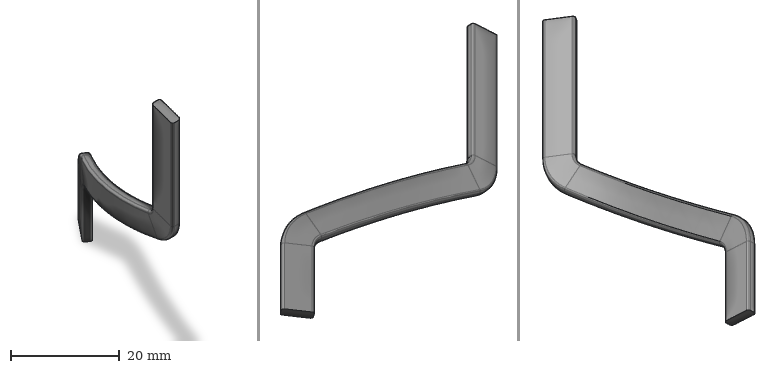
import cadquery as cq
import math

height = 76.25
bar_width = 6.2
bar_thickness = 2.0
edge_radius = 0.5
lower_leg = 15.0
upper_leg = 30.0
bend_radius = 6.0
leg_spacing = 26.7
lower_angle = 210.0
upper_angle = 240.0
guide_offset = 3.8
curve_steps = 12

wrap_angle = math.radians(upper_angle - lower_angle)
wrap_radius = leg_spacing / math.sqrt(2) / math.sin(wrap_angle / 2)
wrap_length = wrap_radius * wrap_angle
rise = height - lower_leg - upper_leg

middle_run = wrap_length / 2 - bend_radius
half_diagonal = math.sqrt(middle_run**2 + (rise / 2) ** 2 - bend_radius**2)
bend_angle = math.atan2(middle_run, rise / 2) + math.atan2(bend_radius, half_diagonal)
bend_run = bend_radius * (1 - math.cos(bend_angle))
bend_rise = bend_radius * math.sin(bend_angle)

mean_angle = math.radians((lower_angle + upper_angle) / 2)
axis_distance = wrap_radius * math.cos(wrap_angle / 2)
axis_x = -axis_distance * math.cos(mean_angle)
axis_y = -axis_distance * math.sin(mean_angle)


def wrapped_point(run, z, radius):
    """Place an unrolled point on the cylinder of the given radius."""
    angle = math.radians(lower_angle) + run / wrap_radius
    return axis_x + radius * math.cos(angle), axis_y + radius * math.sin(angle), z


def lower_bend(t):
    """Run around the cylinder and height along the lower bend, for t from 0 to 1."""
    angle = t * bend_angle
    return bend_radius * (1 - math.cos(angle)), lower_leg + bend_radius * math.sin(angle)


def diagonal(t):
    """Run and height along the straight stretch of the unrolled path."""
    run = bend_run + t * (wrap_length - 2 * bend_run)
    return run, lower_leg + bend_rise + t * (rise - 2 * bend_rise)


def upper_bend(t):
    """Run and height along the upper bend, a half-turn copy of the lower one."""
    run, z = lower_bend(1 - t)
    return wrap_length - run, 2 * lower_leg + rise - z


def wrapped_tangent(run, lean, radius):
    """Direction of the wrapped path where it leans by the given angle from vertical."""
    angle = math.radians(lower_angle) + run / wrap_radius
    along = math.sin(lean) * radius / wrap_radius
    return cq.Vector(-along * math.sin(angle), along * math.cos(angle), math.cos(lean))


def wrapped_path(radius):
    """Lower bend, diagonal and upper bend as one smooth wire on a cylinder."""
    stretches = (
        (lower_bend, 0, bend_angle),
        (diagonal, bend_angle, bend_angle),
        (upper_bend, bend_angle, 0),
    )
    edges = []
    for stretch, start_lean, end_lean in stretches:
        steps = [step / curve_steps for step in range(curve_steps + 1)]
        points = [cq.Vector(*wrapped_point(*stretch(t), radius)) for t in steps]
        start_run, _ = stretch(0)
        end_run, _ = stretch(1)
        tangents = [
            wrapped_tangent(start_run, start_lean, radius),
            wrapped_tangent(end_run, end_lean, radius),
        ]
        edges.append(cq.Edge.makeSpline(points, tangents=tangents))
    return cq.Workplane(cq.Wire.assembleEdges(edges))


def bar_section(run, z, angle):
    """Rounded bar section on a horizontal plane, thickness along the cylinder radius."""
    direction = math.radians(angle)
    plane = cq.Plane(
        origin=wrapped_point(run, z, wrap_radius),
        xDir=(math.cos(direction), math.sin(direction), 0),
        normal=(0, 0, 1),
    )
    outline = cq.Sketch().rect(bar_thickness, bar_width).vertices().fillet(edge_radius)
    return cq.Workplane(plane).placeSketch(outline)


lower = bar_section(0, 0, lower_angle).extrude(lower_leg)
upper = bar_section(wrap_length, height - upper_leg, upper_angle).extrude(upper_leg)
middle = bar_section(0, lower_leg, lower_angle).sweep(
    wrapped_path(wrap_radius), auxSpine=wrapped_path(wrap_radius + guide_offset)
)

result = lower.union(middle).union(upper)